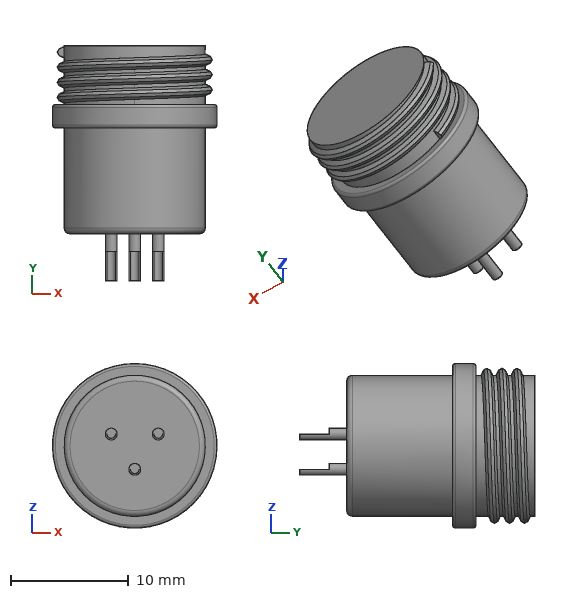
import cadquery as cq

body_radius = 6.0
body_length = 16.0
body_fillet = 0.5

flange_radius = 7.0
flange_start = 9.0
flange_width = 2.0
flange_fillet = 0.25

thread_pitch = 1.28
thread_height = 4.0
crest_radius = 6.6
shoulder_radius = 6.45
shoulder_half_width = 0.28
thread_half_width = 0.55
rear_to_crest = 0.55
thread_overlap = 0.1

pin_radius = 0.5
pin_length = 4.0
pin_embed = 0.2
cup_radius = 0.35
cup_length = 2.5
pin_centers = [(-2.0, 1.0), (2.0, 1.0), (0.0, -2.0)]


def cylinder_along_y(radius, start, end, x=0.0, z=0.0):
    axis_start = cq.Vector(x, start, z)
    return cq.Workplane(cq.Solid.makeCylinder(radius, end - start, axis_start, cq.Vector(0, 1, 0)))


def make_body():
    return cylinder_along_y(body_radius, 0, body_length).faces("<Y").edges().fillet(body_fillet)


def make_flange():
    flange = cylinder_along_y(flange_radius, flange_start, flange_start + flange_width)
    return flange.edges("%CIRCLE").fillet(flange_fillet)


def make_thread():
    """Right-handed ridge with faceted flanks, starting at -X next to the rear end of the body."""
    start_y = body_length - rear_to_crest
    root_radius = body_radius - thread_overlap
    helix = cq.Wire.makeHelix(thread_pitch, thread_height, body_radius)
    ridge = (
        cq.Workplane("XZ")
        .polyline([
            (root_radius, -thread_half_width),
            (shoulder_radius, -shoulder_half_width),
            (crest_radius, 0),
            (shoulder_radius, shoulder_half_width),
            (root_radius, thread_half_width),
        ])
        .close()
        .sweep(cq.Workplane(helix), isFrenet=True)
    )
    ridge = ridge.rotate((0, 0, 0), (1, 0, 0), 90).rotate((0, 0, 0), (0, 1, 0), 180)
    return ridge.translate((0, start_y, 0))


def make_pin(x, z):
    """Round pin whose tip is an open half-round solder cup, with the opening facing +Z."""
    tip = -pin_length
    cup_floor = tip + cup_length
    pin = cylinder_along_y(pin_radius, tip, pin_embed, x, z)
    bore = cylinder_along_y(cup_radius, tip, cup_floor, x, z)
    upper_half = cq.Workplane().box(
        2 * pin_radius, cup_length, pin_radius, centered=(True, False, False)
    ).translate((x, tip, z))
    return pin.cut(bore).cut(upper_half)


result = make_body().union(make_flange()).union(make_thread())
for pin_x, pin_z in pin_centers:
    result = result.union(make_pin(pin_x, pin_z))